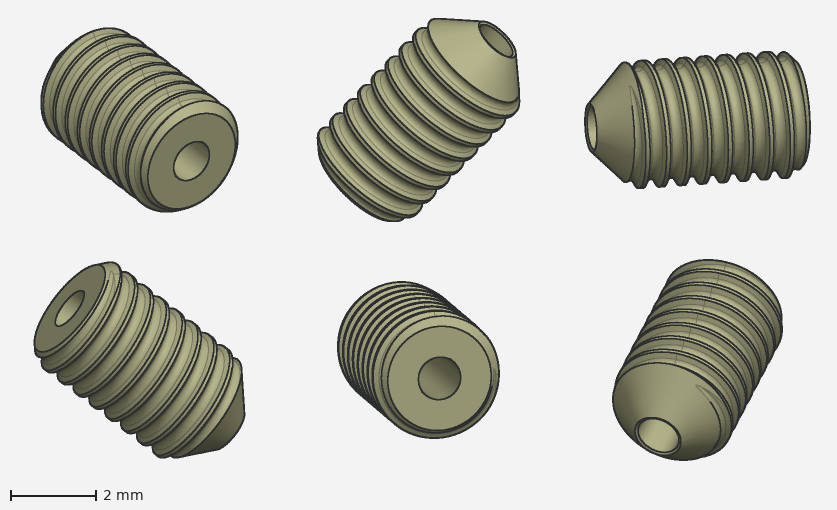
import math

import cadquery as cq

length = 5.0
radius = 1.5
tip_radius = 0.575
back_chamfer = 0.25

bore_radius = 0.51
countersink_half_angle = math.radians(59)

pitch = 0.5
crest_width = 0.1
root_round = 0.15
flank_half_angle = math.radians(30)
groove_turns = math.ceil(length / pitch) + 2
cutter_overshoot = 0.04
groove_start = pitch / 4 - pitch

groove_half_width = (pitch - crest_width) / 2
round_half_width = root_round * math.cos(flank_half_angle)
round_height = root_round * (1 - math.sin(flank_half_angle))
flank_height = (groove_half_width - round_half_width) / math.tan(flank_half_angle)
root_radius = radius - flank_height - round_height


def make_body():
    """Revolved blank with a 45 degree cone at the tip, a 45 degree back chamfer and the bore."""
    cone_length = radius - tip_radius
    countersink_depth = (tip_radius - bore_radius) / math.tan(countersink_half_angle)
    half_section = (
        cq.Workplane("XY")
        .moveTo(countersink_depth, bore_radius)
        .lineTo(0, tip_radius)
        .lineTo(cone_length, radius)
        .lineTo(length - back_chamfer, radius)
        .lineTo(length, radius - back_chamfer)
        .lineTo(length, bore_radius)
        .close()
    )
    return half_section.revolve(360, (0, 0, 0), (1, 0, 0))


def make_helix(helix_radius):
    """One turn of a right-hand helix about X, from where the groove begins."""
    helix = cq.Wire.makeHelix(
        pitch,
        pitch,
        helix_radius,
        center=cq.Vector(groove_start, 0, 0),
        dir=cq.Vector(1, 0, 0),
    )
    return cq.Workplane(helix)


def make_groove_turn():
    """Axial groove section swept one turn along the root helix, kept upright by a guide helix."""
    tangent_radius = root_radius + round_height
    outer_radius = radius + cutter_overshoot
    outer_half_width = groove_half_width + cutter_overshoot * math.tan(flank_half_angle)
    section = (
        cq.Workplane("XZ")
        .moveTo(groove_start - outer_half_width, outer_radius)
        .lineTo(groove_start - round_half_width, tangent_radius)
        .threePointArc(
            (groove_start, root_radius),
            (groove_start + round_half_width, tangent_radius),
        )
        .lineTo(groove_start + outer_half_width, outer_radius)
        .close()
    )
    guide_radius = 2 * root_radius
    return section.sweep(make_helix(root_radius), auxSpine=make_helix(guide_radius))


def cut_thread(body):
    """Cut the groove turn by turn, each turn carrying on where the previous one ended."""
    groove_turn = make_groove_turn()
    for turn in range(groove_turns):
        body = body.cut(groove_turn.translate((turn * pitch, 0, 0)), clean=False)
    return body


result = cut_thread(make_body())